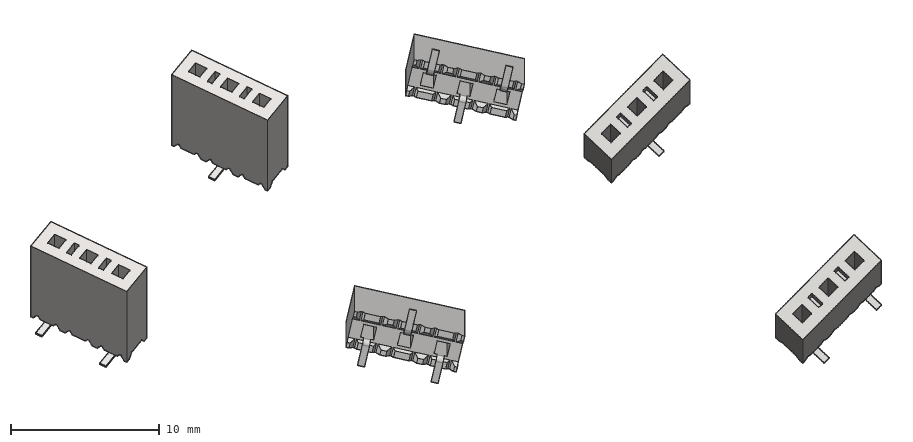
import cadquery as cq


total_length = 22.5
row_spacing = 17.9
lead_reach = (total_length - row_spacing) / 2

pitch = 2.55
positions = 3
housing_length = pitch * positions
housing_width = 2.56
top_z = 7.5

lead_width = 0.5
lead_thickness = 0.15
bend_inner_radius = 0.22
bend_outer_radius = bend_inner_radius + lead_thickness

socket_size = 0.9
slot_width = 0.38
slot_length = 1.01
slot_depth = 1.01

housing_bottom_z = lead_thickness
land_z = 0.31
roof_z = 0.56
tunnel_mouth_width = 1.85
tunnel_roof_width = 1.3
land_width = 1.05
foot_width = 0.4
notch_peak_offset = 0.75
notch_peak_width = 0.11

contact_xs = [(i - (positions - 1) / 2) * pitch for i in range(positions)]
slot_xs = [(left + right) / 2 for left, right in zip(contact_xs, contact_xs[1:])]


def housing_block():
    """Housing with a lower edge of lands, notches and feet, extruded along Y."""
    land_half = land_width / 2
    foot_edge = (pitch - foot_width) / 2
    peak_inner = notch_peak_offset - notch_peak_width / 2
    peak_outer = notch_peak_offset + notch_peak_width / 2
    half_edge = [
        (foot_edge, housing_bottom_z),
        (peak_outer, roof_z),
        (peak_inner, roof_z),
        (land_half, land_z),
    ]
    outline = [(-housing_length / 2, top_z), (-housing_length / 2, housing_bottom_z)]
    for x in contact_xs:
        outline += [(x - offset, z) for offset, z in half_edge]
        outline += [(x + offset, z) for offset, z in reversed(half_edge)]
    outline += [(housing_length / 2, housing_bottom_z), (housing_length / 2, top_z)]
    return cq.Workplane("XZ").polyline(outline).close().extrude(housing_width / 2, both=True)


def tunnel():
    """Tapered channel running the full length under the housing."""
    outline = [
        (-tunnel_mouth_width / 2, housing_bottom_z),
        (-tunnel_roof_width / 2, roof_z),
        (tunnel_roof_width / 2, roof_z),
        (tunnel_mouth_width / 2, housing_bottom_z),
    ]
    return cq.Workplane("YZ").polyline(outline).close().extrude(housing_length / 2, both=True)


def socket_holes():
    """Square holes that pass right through the housing."""
    points = [(x, 0) for x in contact_xs]
    return cq.Workplane("XY").pushPoints(points).rect(socket_size, socket_size).extrude(top_z)


def key_slots():
    """Blind slots in the top face, midway between the socket holes."""
    points = [(x, 0) for x in slot_xs]
    top = cq.Workplane("XY").workplane(offset=top_z)
    return top.pushPoints(points).rect(slot_width, slot_length).extrude(-slot_depth)


def lead(x, side):
    """Lead hanging from the tunnel roof, bent outward to a foot on the given Y side."""
    stem_y = socket_size / 2
    bend_y = stem_y + bend_outer_radius
    profile = (
        cq.Workplane("YZ")
        .moveTo(stem_y, roof_z)
        .lineTo(stem_y, bend_outer_radius)
        .radiusArc((bend_y, 0), -bend_outer_radius)
        .lineTo(lead_reach, 0)
        .lineTo(lead_reach, lead_thickness)
        .lineTo(bend_y, lead_thickness)
        .radiusArc((stem_y + lead_thickness, bend_outer_radius), bend_inner_radius)
        .lineTo(stem_y + lead_thickness, roof_z)
        .close()
    )
    bent_strip = profile.extrude(lead_width / 2, both=True)
    if side < 0:
        bent_strip = bent_strip.mirror("XZ")
    return bent_strip.translate((x, 0, 0))


def connector():
    """One connector centred on the Z axis, with its end leads pointing to +Y."""
    body = housing_block().cut(tunnel()).cut(socket_holes()).cut(key_slots())
    for i, x in enumerate(contact_xs):
        side = 1 if i % 2 == 0 else -1
        body = body.union(lead(x, side))
    return body


connectors = []
for turn, center_y in [(0, row_spacing / 2), (180, -row_spacing / 2)]:
    placed = connector().rotate((0, 0, 0), (0, 0, 1), turn).translate((0, center_y, 0))
    connectors.append(placed.val())

result = cq.Compound.makeCompound(connectors)